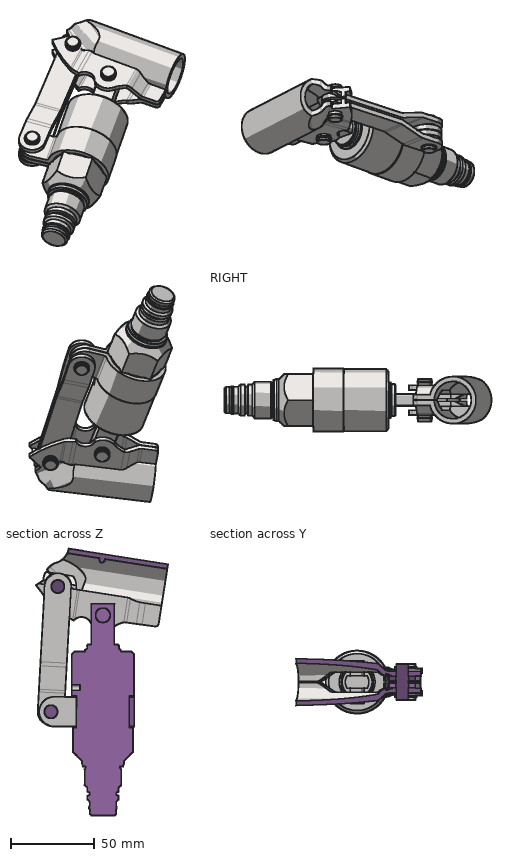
import cadquery as cq
import math


SHEET = 3.0

CLAMP_HEIGHT = 18.0
CLAMP_RADIUS = 19.04
NECK_RADIUS = CLAMP_RADIUS - SHEET
CLAMP_SLIT = 0.5
CLAMP_GAP = 0.4
EAR_RADIUS = CLAMP_HEIGHT / 2
EAR_CENTER_X = -29.3
EAR_HALF_THICKNESS = SHEET + CLAMP_SLIT / 2
EAR_FILLET = 1.5

LOWER_PIVOT = (-31.25, EAR_RADIUS)
UPPER_PIVOT = (-27.1, 84.3)
ROD_PIVOT = (0.0, 67.0)

BARREL_RADIUS = 18.8
BARREL_BOTTOM = CLAMP_HEIGHT + CLAMP_GAP
BARREL_TOP = 45.3
BARREL_CHAMFER_RADIUS = 1.7
BARREL_CHAMFER_HEIGHT = 1.6
COLLAR_RADIUS = 10.8
COLLAR_TOP = 49.5
COLLAR_STEP = 47.0
COLLAR_CAP_RADIUS = 9.7
COLLAR_CHAMFER = 0.7
OIL_HOLE_RADIUS = 1.6
OIL_HOLE_Y = 23.6
OIL_HOLE_DEPTH = 5.0

HEX_FLATS = 31.4
HEX_CORNER_RADIUS = HEX_FLATS / math.sqrt(3)
HEX_TOP = -CLAMP_GAP
HEX_CONE_TOP = -15.2
HEX_CONE_BOTTOM = -20.8
NIPPLE_PROFILE = [
    (12.8, HEX_CONE_BOTTOM),
    (12.8, -22.0),
    (12.2, -23.6),
    (12.2, -24.0),
    (10.4, -24.0),
    (10.4, -24.6),
    (11.15, -25.7),
    (11.15, -35.2),
    (9.45, -36.6),
    (9.45, -39.2),
    (8.1, -39.7),
    (8.1, -40.9),
    (9.45, -41.4),
    (9.45, -43.8),
    (8.1, -45.1),
    (8.1, -47.9),
    (8.45, -48.3),
    (8.45, -49.2),
    (8.1, -49.7),
    (7.8, -50.2),
    (8.05, -51.3),
    (8.05, -52.5),
    (7.0, -53.52),
]

ROD_RADIUS = 7.1
ROD_HALF_THICKNESS = 3.7

LINK_RADIUS = 8.0
LINK_INNER_Z_UPPER = 0.65
LINK_INNER_Z_LOWER = 5.2
LINK_END_Z = LINK_INNER_Z_UPPER + SHEET
LINK_BEND_LOWER = 12.5
LINK_BEND_UPPER = 28.6
LINK_BEND_RADIUS = 6.0

LINK_PIN_RADIUS = 4.0
LINK_PIN_HALF_LENGTH = 10.9
LINK_PIN_RING_Z = 8.6
LINK_PIN_RING_HEIGHT = 0.5
ROD_PIN_RADIUS = 4.2
ROD_PIN_HALF_LENGTH = 12.9
ROD_PIN_RING_Z = 10.4
ROD_PIN_RING_HEIGHT = 0.9
RING_RADIUS = 4.65
PIN_CHAMFER = 0.3

LEVER_TILT = -8.91
TUBE_RADIUS = 14.2
TUBE_BORE_RADIUS = TUBE_RADIUS - SHEET
TUBE_AXIS_Y = 22.34
TUBE_END_X = 34.0
TUBE_START_X = -45.0
STUD_X = -5.7
STUD_RADIUS = 1.7
STUD_HEIGHT = 2.5
STUD_ROOT = 1.0
STUD_CHAMFER = 1.2
LIP_SLIT_NARROW_Y = 15.3
LIP_SLIT_WIDE_Y = 20.5
LIP_SLIT_TOP_Y = 25.3
LIP_CLEARANCE = 0.15
LIP_INNER_RADIUS = LINK_RADIUS + LIP_CLEARANCE
LIP_OUTER_RADIUS = LIP_INNER_RADIUS + SHEET
FLANGE_Z_LINK = LINK_END_Z + SHEET
FLANGE_Z_ROD = 9.0
TAB_SLIT = 0.4
FLANGE_Z_TAB = SHEET + TAB_SLIT / 2
FLANGE_BENDS = (-23.4, -17.7, 14.8, 23.0)
FLANGE_BEND_RADIUS = 3.0
FLANGE_ROOT_Y = 12.34
FLANGE_TIP = (-42.65, 11.75)
NOTCH_CORNER = (-34.5, 18.7)
NOTCH_END = (-37.5, 22.0)
RAMP_FOOT = (-36.6, 22.6)
RAMP_ANGLE = -35.0
RAMP_LENGTH = 30.0
RAMP_SHALLOW = ((4.0, 3.0), (12.0, 5.6))
RAMP_STEEP = ((4.0, 3.85), (9.5, 8.5))
RAMP_TOP_SLOPE = 0.4
RAMP_INSET_SHIFT = 0.45

FAR = 80.0
PICK_MARGIN = 0.3
BEND_PICK_MARGIN = 1.5


def revolved_about_y(profile):
    points = [(0, profile[0][1])] + profile + [(0, profile[-1][1])]
    return cq.Workplane("XY").polyline(points).close().revolve(360, (0, 0, 0), (0, 1, 0))


def slab(sketch, half_thickness):
    """Extrude a closed XY sketch equally to both sides of Z = 0."""
    return sketch.extrude(half_thickness, both=True)


def z_cylinder(center, radius, half_length):
    return slab(cq.Workplane("XY").center(*center).circle(radius), half_length)


def y_disc(radius, bottom, top):
    return revolved_about_y([(radius, top), (radius, bottom)])


def make_pump():
    barrel = revolved_about_y([
        (COLLAR_CAP_RADIUS - COLLAR_CHAMFER, COLLAR_TOP),
        (COLLAR_CAP_RADIUS, COLLAR_TOP - COLLAR_CHAMFER),
        (COLLAR_CAP_RADIUS, COLLAR_STEP),
        (COLLAR_RADIUS, COLLAR_STEP - COLLAR_CHAMFER),
        (COLLAR_RADIUS, BARREL_TOP),
        (BARREL_RADIUS - BARREL_CHAMFER_RADIUS, BARREL_TOP),
        (BARREL_RADIUS, BARREL_TOP - BARREL_CHAMFER_HEIGHT),
        (BARREL_RADIUS, BARREL_BOTTOM),
        (NECK_RADIUS, BARREL_BOTTOM),
        (NECK_RADIUS, HEX_TOP),
    ])
    oil_hole = (
        cq.Workplane("YZ", origin=(-BARREL_RADIUS, 0, 0))
        .center(OIL_HOLE_Y, 0)
        .circle(OIL_HOLE_RADIUS)
        .extrude(OIL_HOLE_DEPTH)
    )
    hexagon = (
        cq.Workplane("XZ", origin=(0, HEX_TOP, 0))
        .polygon(6, 2 * HEX_CORNER_RADIUS)
        .extrude(HEX_TOP - HEX_CONE_BOTTOM)
    )
    cone_end_radius = HEX_CORNER_RADIUS - (HEX_CONE_TOP - HEX_CONE_BOTTOM)
    cone = revolved_about_y([
        (HEX_CORNER_RADIUS, HEX_TOP),
        (HEX_CORNER_RADIUS, HEX_CONE_TOP),
        (cone_end_radius, HEX_CONE_BOTTOM),
    ])
    nipple = revolved_about_y(NIPPLE_PROFILE)
    body = barrel.cut(oil_hole).union(hexagon.intersect(cone)).union(nipple)
    return body.union(make_rod())


def make_rod():
    rod_round = y_disc(ROD_RADIUS, BARREL_TOP, ROD_PIVOT[1] + ROD_RADIUS)
    flats = cq.Workplane("XY").box(FAR, 2 * FAR, 2 * ROD_HALF_THICKNESS)
    pin_hole = z_cylinder(ROD_PIVOT, ROD_PIN_RADIUS, ROD_HALF_THICKNESS)
    return rod_round.intersect(flats).cut(pin_hole)


def make_clamp():
    ear_length = -EAR_CENTER_X
    ear = slab(
        cq.Workplane("XY").center(EAR_CENTER_X + ear_length / 2, EAR_RADIUS).rect(ear_length, CLAMP_HEIGHT),
        EAR_HALF_THICKNESS,
    ).union(z_cylinder((EAR_CENTER_X, EAR_RADIUS), EAR_RADIUS, EAR_HALF_THICKNESS))
    clamp = y_disc(CLAMP_RADIUS, 0, CLAMP_HEIGHT).union(ear)
    root_x = -math.sqrt(CLAMP_RADIUS**2 - EAR_HALF_THICKNESS**2)
    root = cq.selectors.BoxSelector(
        (root_x - PICK_MARGIN, -FAR, -FAR),
        (root_x + PICK_MARGIN, FAR, FAR),
    )
    clamp = clamp.edges("|Y").edges(root).fillet(EAR_FILLET)
    slit = cq.Workplane("XY").box(FAR, FAR, CLAMP_SLIT).translate((-FAR / 2, 0, 0))
    bore = y_disc(NECK_RADIUS, 0, CLAMP_HEIGHT)
    pin_hole = z_cylinder(LOWER_PIVOT, LINK_PIN_RADIUS, EAR_HALF_THICKNESS)
    return clamp.cut(bore).cut(slit).cut(pin_hole)


LINK_DX = UPPER_PIVOT[0] - LOWER_PIVOT[0]
LINK_DY = UPPER_PIVOT[1] - LOWER_PIVOT[1]
LINK_LENGTH = math.hypot(LINK_DX, LINK_DY)
LINK_TILT = math.degrees(math.atan2(LINK_DY, LINK_DX))


def make_link(side):
    """One link, above (side = 1) or below (side = -1) the plane Z = 0, cranked towards it."""
    start = -LINK_RADIUS
    end = LINK_LENGTH + LINK_RADIUS
    crank = math.atan2(LINK_INNER_Z_LOWER - LINK_INNER_Z_UPPER, LINK_BEND_UPPER - LINK_BEND_LOWER)
    shift = SHEET * math.tan(crank / 2)
    lower_inner = (LINK_BEND_LOWER, LINK_INNER_Z_LOWER)
    lower_outer = (LINK_BEND_LOWER + shift, LINK_INNER_Z_LOWER + SHEET)
    upper_inner = (LINK_BEND_UPPER, LINK_INNER_Z_UPPER)
    upper_outer = (LINK_BEND_UPPER + shift, LINK_INNER_Z_UPPER + SHEET)
    sheet = (
        cq.Workplane("XZ")
        .moveTo(start, LINK_INNER_Z_LOWER)
        .lineTo(*lower_inner)
        .lineTo(*upper_inner)
        .lineTo(end, LINK_INNER_Z_UPPER)
        .lineTo(end, LINK_INNER_Z_UPPER + SHEET)
        .lineTo(*upper_outer)
        .lineTo(*lower_outer)
        .lineTo(start, LINK_INNER_Z_LOWER + SHEET)
        .close()
        .extrude(LINK_RADIUS, both=True)
    )
    bends = [
        (lower_inner, LINK_BEND_RADIUS),
        (upper_outer, LINK_BEND_RADIUS),
        (lower_outer, LINK_BEND_RADIUS + SHEET),
        (upper_inner, LINK_BEND_RADIUS + SHEET),
    ]
    for (x, z), radius in bends:
        sheet = sheet.edges(cq.selectors.NearestToPointSelector((x, 0, z))).fillet(radius)
    outline = slab(
        cq.Workplane("XY").center(LINK_LENGTH / 2, 0).slot2D(end - start, 2 * LINK_RADIUS), FAR
    )
    holes = slab(
        cq.Workplane("XY").pushPoints([(0, 0), (LINK_LENGTH, 0)]).circle(LINK_PIN_RADIUS), FAR
    )
    link = sheet.intersect(outline).cut(holes)
    if side < 0:
        link = link.mirror("XY")
    return link.rotate((0, 0, 0), (0, 0, 1), LINK_TILT).translate((*LOWER_PIVOT, 0))


def make_pin(pivot, radius, half_length, ring_z, ring_height):
    """A round pin with a retaining ring near each end."""
    pin = z_cylinder((0, 0), radius, half_length).faces("|Z").chamfer(PIN_CHAMFER)
    for ring_bottom in (ring_z, -ring_z - ring_height):
        ring = cq.Workplane("XY", origin=(0, 0, ring_bottom)).circle(RING_RADIUS).extrude(ring_height)
        pin = pin.union(ring)
    return pin.translate((*pivot, 0))


def into_lever_frame(pivot):
    dx = pivot[0] - ROD_PIVOT[0]
    dy = pivot[1] - ROD_PIVOT[1]
    angle = math.radians(-LEVER_TILT)
    return (dx * math.cos(angle) - dy * math.sin(angle), dx * math.sin(angle) + dy * math.cos(angle))


LEVER_LINK_PIVOT = into_lever_frame(UPPER_PIVOT)


def tube_cylinder(radius):
    return (
        cq.Workplane("YZ", origin=(TUBE_START_X, 0, 0))
        .center(TUBE_AXIS_Y, 0)
        .circle(radius)
        .extrude(TUBE_END_X - TUBE_START_X)
    )


def ramp_profile(distance, shape, inset):
    """Upper half of the room under the ramp, in a plane across it at `distance` along its foot."""
    angle = math.radians(RAMP_ANGLE)
    along = cq.Vector(math.cos(angle), math.sin(angle), 0)
    across = cq.Vector(-math.sin(angle), math.cos(angle), 0)
    origin = cq.Vector(*RAMP_FOOT, 0) + along * distance
    foot = inset * RAMP_INSET_SHIFT
    low = FLANGE_Z_LINK - inset
    middle, top = [(foot + run, low + rise) for run, rise in shape]
    return (
        cq.Workplane(cq.Plane(origin=origin, xDir=across, normal=-along))
        .moveTo(-FAR, 0)
        .lineTo(-FAR, low)
        .lineTo(foot, low)
        .spline([middle, top], tangents=[(1, 0), (1, RAMP_TOP_SLOPE)], includeCurrent=True)
        .lineTo(FAR, top[1] + (FAR - top[0]) * RAMP_TOP_SLOPE)
        .lineTo(FAR, 0)
        .close()
        .val()
    )


def pinch_envelope(inset):
    """Room under the ramp that flattens the tube towards the links, moved in by `inset`."""
    profiles = [
        ramp_profile(-FAR, RAMP_SHALLOW, inset),
        ramp_profile(0, RAMP_SHALLOW, inset),
        ramp_profile(RAMP_LENGTH, RAMP_STEEP, inset),
        ramp_profile(FAR, RAMP_STEEP, inset),
    ]
    half = cq.Workplane(cq.Solid.makeLoft(profiles, True))
    return half.union(half.mirror("XY"))


def bend_edges(start, end):
    """Selects the flange bend lines with x from start to end."""
    low_corner = (start - BEND_PICK_MARGIN, -FAR, -FAR)
    high_corner = (end + BEND_PICK_MARGIN, FAR, FAR)
    return cq.selectors.BoxSelector(low_corner, high_corner)


def flange_room(inset):
    """The full space between the two flange faces, moved in by `inset`, with the bends along x."""
    link_foot, rod_start, rod_end, tab_foot = FLANGE_BENDS
    rise = math.atan2(FLANGE_Z_ROD - FLANGE_Z_LINK, rod_start - link_foot)
    fall = math.atan2(FLANGE_Z_ROD - FLANGE_Z_TAB, tab_foot - rod_end)
    up = inset * math.tan(rise / 2)
    down = inset * math.tan(fall / 2)
    half = [
        (-FAR, FLANGE_Z_LINK - inset),
        (link_foot + up, FLANGE_Z_LINK - inset),
        (rod_start + up, FLANGE_Z_ROD - inset),
        (rod_end - down, FLANGE_Z_ROD - inset),
        (tab_foot - down, FLANGE_Z_TAB - inset),
        (FAR, FLANGE_Z_TAB - inset),
    ]
    points = half + [(x, -z) for x, z in reversed(half)]
    room = cq.Workplane("XZ", origin=(0, LEVER_LINK_PIVOT[1], 0)).polyline(points).close().extrude(FAR)
    room = room.edges("|Y").edges(bend_edges(rod_start, rod_end)).fillet(FLANGE_BEND_RADIUS + SHEET - inset)
    for bend in (link_foot, tab_foot):
        room = room.edges("|Y").edges(bend_edges(bend, bend)).fillet(FLANGE_BEND_RADIUS + inset)
    return room


def flange_outline():
    return slab(
        cq.Workplane("XY")
        .moveTo(*FLANGE_TIP)
        .threePointArc((-30.9, 1.6), (-16.9, -5.9))
        .threePointArc((-11.4, -3.0), (-5.7, -7.2))
        .threePointArc((0.5, -9.55), (6.6, -6.8))
        .tangentArcPoint((13.3, -2.2), relative=False)
        .lineTo(31.8, -1.85)
        .threePointArc((33.4, -1.2), (TUBE_END_X, 0.3))
        .lineTo(TUBE_END_X, FLANGE_ROOT_Y)
        .lineTo(FLANGE_BENDS[0], FLANGE_ROOT_Y)
        .lineTo(*RAMP_FOOT)
        .lineTo(*NOTCH_END)
        .lineTo(*NOTCH_CORNER)
        .close(),
        FAR,
    )


def pinched_end_outline():
    """Side outline of the tube with the S-shaped left end."""
    return slab(
        cq.Workplane("XY")
        .moveTo(-26.6, 37.3)
        .threePointArc((-28.5, 30.4), (-33.5, 26.5))
        .threePointArc((-37.2, 22.6), (-38.7, 15.3))
        .lineTo(-36.0, 0)
        .lineTo(TUBE_END_X, 0)
        .lineTo(TUBE_END_X, 37.3)
        .close(),
        FAR,
    )


def notch():
    """Gap between the flange tip and the curled lip, outside the links."""
    gap = slab(
        cq.Workplane("XY")
        .polyline([
            FLANGE_TIP,
            NOTCH_CORNER,
            NOTCH_END,
            (TUBE_START_X, NOTCH_END[1]),
            (TUBE_START_X, FLANGE_TIP[1]),
        ])
        .close(),
        FAR,
    )
    return gap.cut(cq.Workplane("XY").box(3 * FAR, 3 * FAR, 2 * LINK_END_Z))


def lip_slit():
    """Slit between the two curled lips, flaring into the open end of the tube."""
    half = [
        (0, LINK_INNER_Z_UPPER),
        (LIP_SLIT_NARROW_Y, LINK_INNER_Z_UPPER),
        (LIP_SLIT_WIDE_Y, LINK_END_Z),
        (LIP_SLIT_TOP_Y, LINK_END_Z),
    ]
    points = half + [(y, -z) for y, z in reversed(half)]
    plane = cq.Workplane("YZ", origin=(TUBE_START_X, 0, 0))
    return plane.polyline(points).close().extrude(FLANGE_BENDS[1] - TUBE_START_X)


def make_lever():
    tube = tube_cylinder(TUBE_RADIUS).intersect(pinch_envelope(0)).intersect(pinched_end_outline())
    bore = tube_cylinder(TUBE_BORE_RADIUS).intersect(pinch_envelope(SHEET))
    bore = bore.cut(z_cylinder(LEVER_LINK_PIVOT, LIP_OUTER_RADIUS, LINK_END_Z))
    pinched_plate = cq.Workplane("XY").box(FAR, FAR, 2 * FLANGE_Z_LINK)
    pinched_plate = pinched_plate.translate((FLANGE_BENDS[0] - FAR / 2, 0, 0))
    flanges = flange_room(0).union(pinched_plate).intersect(flange_outline())
    stud = (
        cq.Workplane("XZ", origin=(STUD_X, TUBE_AXIS_Y + TUBE_BORE_RADIUS + STUD_ROOT, 0))
        .circle(STUD_RADIUS)
        .extrude(STUD_HEIGHT + STUD_ROOT)
        .faces("<Y")
        .chamfer(STUD_CHAMFER)
    )
    pin_ring_relief = z_cylinder(LEVER_LINK_PIVOT, RING_RADIUS, LINK_PIN_HALF_LENGTH).cut(
        z_cylinder(LEVER_LINK_PIVOT, RING_RADIUS, LINK_PIN_RING_Z)
    )
    lever = tube.union(flanges).cut(notch()).cut(bore).cut(flange_room(SHEET)).cut(lip_slit())
    lever = lever.cut(z_cylinder(LEVER_LINK_PIVOT, LIP_INNER_RADIUS, LINK_END_Z))
    lever = lever.cut(z_cylinder(LEVER_LINK_PIVOT, LINK_PIN_RADIUS, LINK_PIN_HALF_LENGTH))
    lever = lever.cut(pin_ring_relief)
    lever = lever.cut(z_cylinder((0, 0), ROD_PIN_RADIUS, FLANGE_Z_ROD)).union(stud)
    return lever.rotate((0, 0, 0), (0, 0, 1), LEVER_TILT).translate((*ROD_PIVOT, 0))


pump = make_pump()
clamp = make_clamp()
links = [make_link(side) for side in (1, -1)]
link_pins = [
    make_pin(pivot, LINK_PIN_RADIUS, LINK_PIN_HALF_LENGTH, LINK_PIN_RING_Z, LINK_PIN_RING_HEIGHT)
    for pivot in (LOWER_PIVOT, UPPER_PIVOT)
]
rod_pin = make_pin(ROD_PIVOT, ROD_PIN_RADIUS, ROD_PIN_HALF_LENGTH, ROD_PIN_RING_Z, ROD_PIN_RING_HEIGHT)
lever = make_lever()

bodies = [pump, clamp, *links, *link_pins, rod_pin, lever]
result = cq.Compound.makeCompound([body.val() for body in bodies])